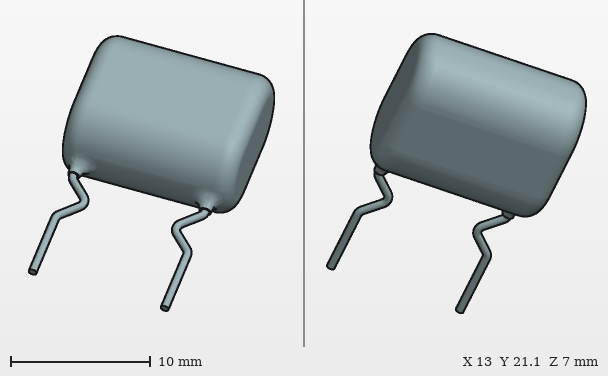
import cadquery as cq
import math

body_width = 13.0
body_thickness = 7.0
body_length = 11.1
edge_radius = 1.3

collar_radius = 0.4
collar_length = 0.93
flare_radius = 1.3
flare_margin = 0.65

lead_spacing = 10.0
lead_diameter = 0.6
lead_reach = 10.0
straight_length = 5.0
kink_offset = 1.5
bend_angle = math.radians(45)

body_front = -body_length / 2
collar_end = body_front - collar_length
lead_tip = body_front - lead_reach
kink_end = lead_tip + straight_length
kink_middle = (collar_end + kink_end) / 2
lead_sides = (-1, 1)

bend_rise = math.sin(bend_angle)
bend_shift = 1 - math.cos(bend_angle)
half_kink_length = collar_end - kink_middle
bend_radius = (half_kink_length - kink_offset) / (2 * (bend_rise - bend_shift))

rise = bend_radius * bend_rise
shift = bend_radius * bend_shift
half_rise = bend_radius * math.sin(bend_angle / 2)
half_shift = bend_radius * (1 - math.cos(bend_angle / 2))


def collar_root(side):
    """Selector for the edges where one collar meets the capsule."""
    tolerance = 0.01
    reach = collar_radius + tolerance
    root_depth = 0.1
    lead_x = side * lead_spacing / 2
    return cq.selectors.BoxSelector(
        (lead_x - reach, body_front - tolerance, -reach),
        (lead_x + reach, body_front + root_depth, reach),
        boundingbox=True,
    )


def make_body():
    """Capsule with rounded end edges and a flared collar around each lead."""
    capsule = (
        cq.Workplane("YZ")
        .slot2D(body_length, body_thickness)
        .extrude(body_width / 2, both=True)
        .faces("<X or >X")
        .edges()
        .fillet(edge_radius)
    )

    long_collar_end = body_front - flare_radius - flare_margin
    collars = (
        cq.Workplane("XZ")
        .pushPoints([(side * lead_spacing / 2, 0) for side in lead_sides])
        .circle(collar_radius)
        .extrude(-long_collar_end)
    )
    body = capsule.union(collars)
    for side in lead_sides:
        body = body.edges(collar_root(side)).fillet(flare_radius)

    trimmed_length = collar_end - long_collar_end
    trim = (
        cq.Workplane("XZ", origin=(0, collar_end, 0))
        .rect(body_width, body_thickness)
        .extrude(trimmed_length)
    )
    return body.cut(trim).solids()


def make_lead(side):
    """Round wire from the collar's end face, kinked toward the part's centre, then straight."""
    lead_x = side * lead_spacing / 2

    def place(inward, y):
        return (lead_x - side * inward, y)

    path = (
        cq.Workplane("XY")
        .moveTo(*place(0, collar_end))
        .threePointArc(place(half_shift, collar_end - half_rise), place(shift, collar_end - rise))
        .lineTo(*place(kink_offset - shift, kink_middle + rise))
        .threePointArc(place(kink_offset, kink_middle), place(kink_offset - shift, kink_middle - rise))
        .lineTo(*place(shift, kink_end + rise))
        .threePointArc(place(half_shift, kink_end + half_rise), place(0, kink_end))
        .lineTo(*place(0, lead_tip))
    )
    section = cq.Workplane("XZ", origin=(lead_x, collar_end, 0)).circle(lead_diameter / 2)
    return section.sweep(path)


body = make_body()
leads = [make_lead(side) for side in lead_sides]

result = cq.Compound.makeCompound([body.val(), *[lead.val() for lead in leads]])